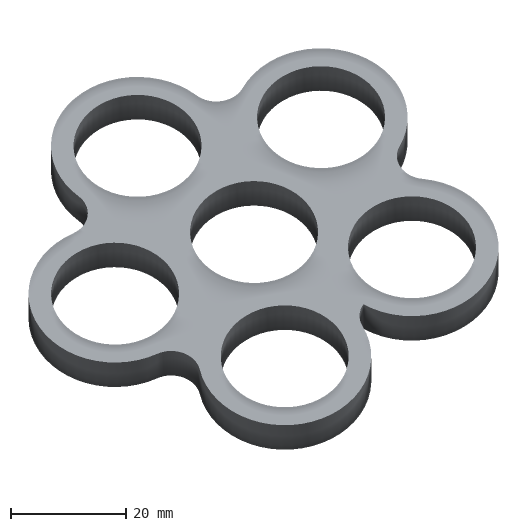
import cadquery as cq
import math

thickness = 7.0
hole_diameter = 22.2
lobe_diameter = 30.0
overall_width = 82.5
lobe_count = 5
first_lobe_angle = 36.0
fillet_radius = 5.0
uneven_fillet_angle = 69.0

lobe_step = 360.0 / lobe_count
lobe_radius = lobe_diameter / 2
ring_radius = (overall_width - lobe_diameter) / (2 * math.sin(math.radians(lobe_step)))
fillet_distance = lobe_radius + fillet_radius
half_spacing = ring_radius * math.sin(math.radians(lobe_step / 2))


def polar(radius, angle):
    return radius * math.cos(math.radians(angle)), radius * math.sin(math.radians(angle))


def disc(center, radius):
    return cq.Workplane("XY").center(*center).circle(radius).extrude(thickness)


def prism(points):
    return cq.Workplane("XY").polyline(points).close().extrude(thickness)


def web(lobe_a, lobe_b, fillet_center):
    """Fill the gap between two lobes up to the concave fillet arc."""
    filler = prism([lobe_a, lobe_b, fillet_center])
    return filler.cut(disc(fillet_center, fillet_radius))


def even_fillet_center(gap_angle):
    """Centre of the fillet tangent to both lobes beside the gap."""
    chord_distance = ring_radius * math.cos(math.radians(lobe_step / 2))
    outward = math.sqrt(fillet_distance**2 - half_spacing**2)
    return polar(chord_distance + outward, gap_angle)


def uneven_fillet_center(lobe):
    """Centre of the fillet tangent to one lobe only; it meets the other at a sharp corner."""
    offset_x, offset_y = polar(fillet_distance, uneven_fillet_angle)
    return lobe[0] + offset_x, lobe[1] + offset_y


lobe_angles = [first_lobe_angle + i * lobe_step for i in range(lobe_count)]
lobes = [polar(ring_radius, angle) for angle in lobe_angles]

body = prism(lobes)
for lobe in lobes:
    body = body.union(disc(lobe, lobe_radius))

for i in range(lobe_count - 1):
    center = even_fillet_center(lobe_angles[i] + lobe_step / 2)
    body = body.union(web(lobes[i], lobes[i + 1], center))
body = body.union(web(lobes[-1], lobes[0], uneven_fillet_center(lobes[-1])))

hole_centers = [(0, 0)] + lobes
for center in hole_centers:
    body = body.cut(disc(center, hole_diameter / 2))

result = body